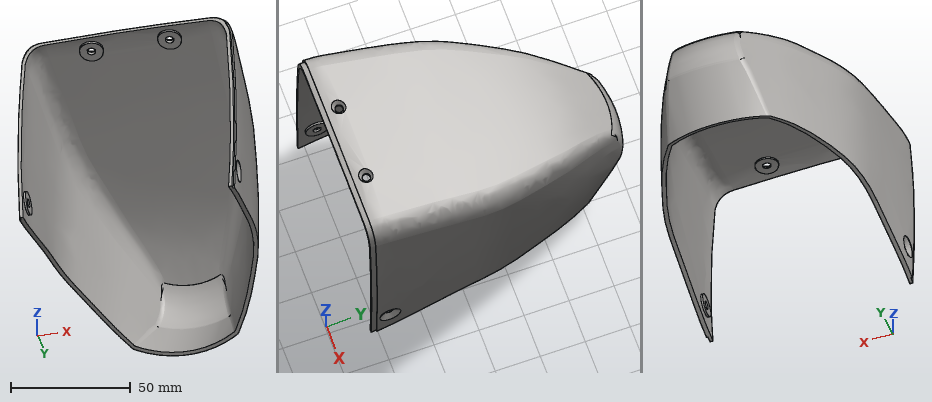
import cadquery as cq

length = 125.4
wall = 2.0
lip_depth = 2.3
lip_step = 0.6
below_part = 3.8
shoulder_lean = 1.8
top_crown = 0.6
clearance = 62.7

screw_y = 8.3
roof_screw_x = 16.8
roof_screw_z = 91.9
side_screw_x = 46.7
side_screw_z = 13.7
screw_hole_diameter = 3.5
boss_diameter = 10.0
boss_height = 0.9
roof_sink_diameter = 6.5
side_sink_diameter = 9.5
sink_depth = 2.0
reach = 6.3

stations = [
    (0.0, 47.0, 1.0, 92.0, 10.0, 8.8),
    (5.0, 47.0, 1.0, 92.4, 10.0, 8.8),
    (15.0, 46.7, 1.0, 90.4, 10.0, 8.8),
    (33.9, 45.5, 1.0, 86.0, 10.0, 8.8),
    (59.6, 42.6, 1.0, 78.0, 9.4, 8.8),
    (77.8, 36.9, 1.6, 71.5, 8.8, 8.2),
    (95.3, 29.8, 2.9, 64.0, 7.5, 7.5),
    (111.6, 21.6, 5.3, 54.2, 6.3, 5.6),
    (121.7, 16.8, 6.3, 46.2, 5.0, 5.0),
    (126.7, 14.0, 6.5, 40.8, 5.0, 5.0),
]

tail_radius = 42.6
tail_blend = 3.8
tail_corner_zone = ((-25.1, 100.3, 7.5), (25.1, 124.2, 43.3))
tail_top = (121.3, 46.2)
tail_tip = (125.3, 35.7)
tail_knee = (124.4, 25.6)
tail_foot = (111.5, 3.3)
tail_cap_height = 25.1

underside_front = (0.0, 0.0)
underside_bend = (38.9, 11.5)
underside_crest = (66.5, 13.7)
bend_direction = (1, 0.28)
foot_direction = (1, -0.45)

wall_rise = (0.2, 1)
roof_rise = (1, 0.05)
roof_fall = (1, -0.05)
wall_fall = (0.2, -1)


def section(y, half_width, foot_lean, roof, corner_width, corner_height, inset):
    """Closed arch outline at one Y, moved inwards by the inset."""
    w = half_width - inset
    crest = roof - inset
    eave = crest - top_crown
    shoulder = eave - corner_height
    foot_x = w - foot_lean
    side_x = w - shoulder_lean
    flat_x = w - corner_width
    mid_z = (shoulder - below_part) / 2
    return (
        cq.Workplane("XZ", origin=(0, y, 0))
        .moveTo(-foot_x, -below_part)
        .threePointArc((-w, mid_z), (-side_x, shoulder))
        .spline([(-flat_x, eave)], tangents=[wall_rise, roof_rise], includeCurrent=True)
        .threePointArc((0, crest), (flat_x, eave))
        .spline([(side_x, shoulder)], tangents=[roof_fall, wall_fall], includeCurrent=True)
        .threePointArc((w, mid_z), (foot_x, -below_part))
        .close()
        .val()
    )


def tail_limit(inset):
    """Rounded tail envelope joined to a block that leaves the front free."""
    slope = cq.Vector(tail_knee[0] - tail_foot[0], tail_knee[1] - tail_foot[1]).normalized()
    inward = cq.Vector(-slope.y, slope.x)
    foot = cq.Vector(*tail_foot)
    base = foot - slope * tail_radius
    axis_low = base + inward * tail_radius
    axis_high = axis_low + slope * (2 * clearance)

    def shifted(point):
        return (point[0] - inset, point[1])

    roof_line = cq.Vector(tail_top[0], tail_top[1] + tail_cap_height)
    axis_top = axis_low + slope * (roof_line - axis_low).dot(slope)
    bell = (
        cq.Workplane("YZ")
        .moveTo(axis_low.x, axis_low.y)
        .lineTo(*shifted((base.x, base.y)))
        .lineTo(*shifted(tail_knee))
        .threePointArc(shifted(tail_tip), shifted(tail_top))
        .lineTo(*shifted((roof_line.x, roof_line.y)))
        .lineTo(axis_top.x, axis_top.y)
        .close()
        .revolve(360, (axis_low.x, axis_low.y, 0), (axis_high.x, axis_high.y, 0))
    )
    front_block = (
        cq.Workplane("YZ", origin=(-clearance, 0, 0))
        .moveTo(axis_low.x, axis_low.y)
        .lineTo(axis_high.x, axis_high.y)
        .lineTo(-clearance, axis_high.y)
        .lineTo(-clearance, axis_low.y)
        .close()
        .extrude(2 * clearance)
    )
    return bell.union(front_block)


def hood(inset):
    """Solid hood body, moved inwards by the inset."""
    wires = [section(*station, inset) for station in stations]
    body = cq.Workplane(cq.Solid.makeLoft(wires)).intersect(tail_limit(inset))
    corners = cq.selectors.BoxSelector(*tail_corner_zone)
    return body.edges(corners).fillet(tail_blend - inset / 2)


def underside():
    """Block below the curved lower edge."""
    return (
        cq.Workplane("YZ", origin=(-clearance, 0, 0))
        .moveTo(*underside_front)
        .lineTo(*underside_bend)
        .spline([underside_crest, tail_foot], tangents=[bend_direction, foot_direction], includeCurrent=True)
        .lineTo(length + below_part, -below_part)
        .lineTo(length + below_part, -clearance)
        .lineTo(0, -clearance)
        .close()
        .extrude(2 * clearance)
    )


def front_slab(depth):
    return cq.Workplane("XY").box(
        2 * clearance, depth, 4 * clearance, centered=(True, False, True)
    )


def cylinder(point, direction, diameter, depth):
    return cq.Workplane(
        cq.Solid.makeCylinder(diameter / 2, depth, cq.Vector(*point), cq.Vector(*direction))
    )


def countersink(point, direction, diameter):
    """Conical sink at the skin, continued outwards so that it opens cleanly."""
    skin = cq.Vector(*point)
    inward = cq.Vector(*direction)
    sink = cq.Solid.makeCone(diameter / 2, screw_hole_diameter / 2, sink_depth, skin, inward)
    opening = cq.Solid.makeCylinder(diameter / 2, reach, skin, inward * -1)
    return cq.Workplane(sink).union(cq.Workplane(opening))


outer = hood(0)
inner = hood(wall)
boss_zone = outer.cut(hood(wall + boss_height))
shell = outer.cut(inner)

shell = shell.cut(front_slab(lip_depth).cut(hood(lip_step)))

screws = []
for sign in (-1, 1):
    screws.append(((sign * roof_screw_x, screw_y, roof_screw_z), (0, 0, -1), roof_sink_diameter))
    screws.append(((sign * side_screw_x, screw_y, side_screw_z), (-sign, 0, 0), side_sink_diameter))

for point, direction, _ in screws:
    boss = cylinder(point, direction, boss_diameter, reach).intersect(boss_zone)
    shell = shell.union(boss)
for point, direction, sink_diameter in screws:
    shell = shell.cut(cylinder(point, direction, screw_hole_diameter, reach))
    shell = shell.cut(countersink(point, direction, sink_diameter))

result = shell.cut(underside())